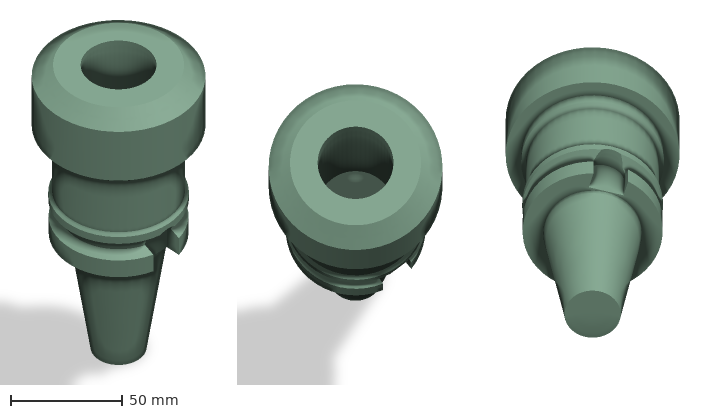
import cadquery as cq

total_height = 165.4

gauge_height = 65.3
gauge_radius = 22.2
taper_ratio = 7 / 24
shank_end_radius = gauge_radius - gauge_height * taper_ratio / 2

flange_bottom = 67.3
flange_radius = 31.5
flange_edge_top = 77.0
groove_radius = 26.5
groove_bottom = 79.5
groove_top = 84.5
lip_radius = 31.6
lip_bottom = 87.0
lip_top = 91.0
lip_chamfer_top = 92.5

body_radius = 30.0
body_top = 122.5
collar_radius = 32.1
collar_bottom = 124.5

nut_radius = 39.0
nut_bottom = 130.3
nut_chamfer_bottom = 159.0
nut_face_radius = 29.5

bore_radius = 17.0
bore_depth = 66.2

slot_width = 16.2
slot_top = 88.3
slot_floor = 22.7


def make_holder():
    """Revolve the half profile of the holder about Z."""
    profile = [
        (0, 0),
        (shank_end_radius, 0),
        (gauge_radius, gauge_height),
        (gauge_radius, flange_bottom),
        (flange_radius, flange_bottom),
        (flange_radius, flange_edge_top),
        (groove_radius, groove_bottom),
        (groove_radius, groove_top),
        (lip_radius, lip_bottom),
        (lip_radius, lip_top),
        (body_radius, lip_chamfer_top),
        (body_radius, body_top),
        (collar_radius, collar_bottom),
        (collar_radius, nut_bottom),
        (nut_radius, nut_bottom),
        (nut_radius, nut_chamfer_bottom),
        (nut_face_radius, total_height),
        (0, total_height),
    ]
    return cq.Workplane("XZ").polyline(profile).close().revolve(360, (0, 0), (0, 1))


def make_bore():
    """Blind cylinder opening in the top face."""
    start = total_height - bore_depth
    return cq.Workplane("XY").workplane(offset=start).circle(bore_radius).extrude(bore_depth)


def make_drive_slot():
    """Round-topped cutter on the +X side, open at the flange underside."""
    half_width = slot_width / 2
    arc_start = slot_top - half_width
    return (
        cq.Workplane("YZ")
        .workplane(offset=slot_floor)
        .moveTo(-half_width, flange_bottom)
        .lineTo(half_width, flange_bottom)
        .lineTo(half_width, arc_start)
        .threePointArc((0, slot_top), (-half_width, arc_start))
        .close()
        .extrude(nut_radius - slot_floor)
    )


result = make_holder().cut(make_bore())
for angle in (0, 180):
    result = result.cut(make_drive_slot().rotate((0, 0, 0), (0, 0, 1), angle))